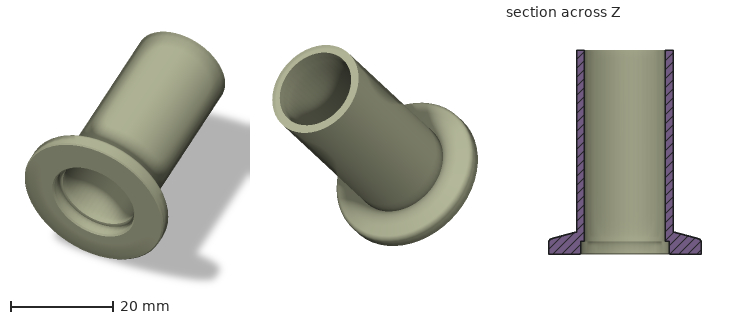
import cadquery as cq
import math


overall_length = 40.0
tube_diameter = 19.05
tube_wall = 1.65

flange_diameter = 30.0
rim_thickness = 3.0
cone_angle = 15.0
rim_fillet = 1.0
edge_chamfer = 0.25

recess_diameter = 17.2
recess_depth = 2.6
recess_chamfer = 0.3

tube_radius = tube_diameter / 2
bore_radius = tube_radius - tube_wall
flange_radius = flange_diameter / 2
recess_radius = recess_diameter / 2
cone_slope = math.radians(cone_angle)
cone_end = rim_thickness + (flange_radius - tube_radius) * math.tan(cone_slope)

fillet_turn = math.pi / 2 - cone_slope
fillet_start = rim_thickness - rim_fillet * math.tan(fillet_turn / 2)
fillet_center_radius = flange_radius - rim_fillet


def fillet_point(angle):
    """Point (radius, Y) on the rim fillet, at an angle turned from the rim."""
    return (
        fillet_center_radius + rim_fillet * math.cos(angle),
        fillet_start + rim_fillet * math.sin(angle),
    )


def make_outer_body():
    """Solid flange, cone and tube."""
    profile = (
        cq.Workplane("XY")
        .moveTo(0, 0)
        .lineTo(flange_radius - edge_chamfer, 0)
        .lineTo(flange_radius, edge_chamfer)
        .lineTo(flange_radius, fillet_start)
        .threePointArc(fillet_point(fillet_turn / 2), fillet_point(fillet_turn))
        .lineTo(tube_radius, cone_end)
        .lineTo(tube_radius, overall_length)
        .lineTo(0, overall_length)
        .close()
    )
    return profile.revolve(360, (0, 0), (0, 1))


def make_passage():
    """Through bore with the chamfered recess at the sealing face."""
    profile = (
        cq.Workplane("XY")
        .moveTo(0, 0)
        .lineTo(recess_radius + recess_chamfer, 0)
        .lineTo(recess_radius, recess_chamfer)
        .lineTo(recess_radius, recess_depth)
        .lineTo(bore_radius, recess_depth)
        .lineTo(bore_radius, overall_length)
        .lineTo(0, overall_length)
        .close()
    )
    return profile.revolve(360, (0, 0), (0, 1))


result = make_outer_body().cut(make_passage())